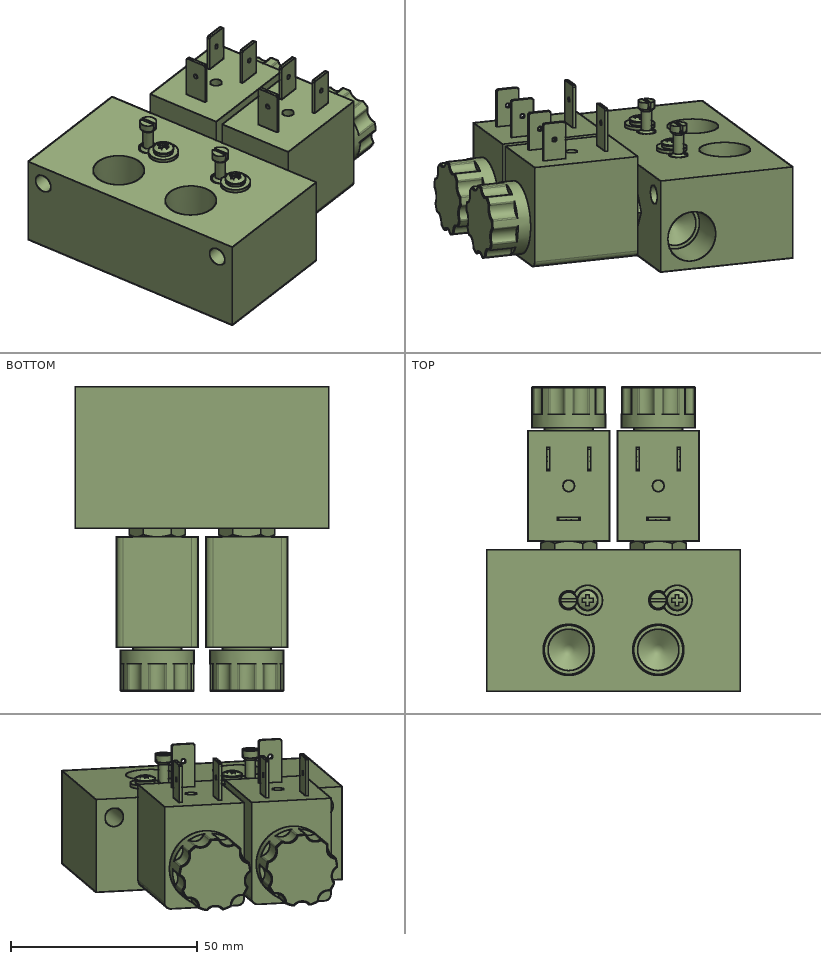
import cadquery as cq
import math


BLOCK_WIDTH = 68.0
BLOCK_DEPTH = 38.0
BLOCK_HEIGHT = 25.5
VALVE_SPACING = 24.0
VALVE_CENTERS_X = (-VALVE_SPACING / 2, VALVE_SPACING / 2)
VALVE_AXIS_Z = BLOCK_HEIGHT / 2

MOUNT_HOLE_DIAMETER = 5.1
MOUNT_HOLE_SPACING = 58.0
MOUNT_HOLE_Z = 20.3

PORT_MOUTH_DIAMETER = 13.7
PORT_SHOULDER_DIAMETER = 13.15
PORT_DRILL_DIAMETER = 11.1
PORT_DEPTH = 11.4
DRILL_POINT_ANGLE = 118.0
TOP_PORT_Y = 11.1
SIDE_PORT_Y = 29.0
SIDE_PORT_Z = 9.1

COIL_GAP = 2.3
COIL_WIDTH = 22.0
COIL_LENGTH = 29.65
COIL_BOTTOM_Z = 1.5
COIL_TOP_Z = 29.6
COIL_BOTTOM_FILLET = 1.8
COIL_FRONT_Y = BLOCK_DEPTH + COIL_GAP
COIL_BACK_Y = COIL_FRONT_Y + COIL_LENGTH
COIL_CENTER_Y = COIL_FRONT_Y + COIL_LENGTH / 2
COIL_SCREW_HOLE_DIAMETER = 3.1
COIL_SCREW_HOLE_DEPTH = 8.2

HEX_ACROSS_FLATS = 13.1
HEX_CHAMFER_ANGLE = 30.0

TOTAL_LENGTH = 81.7
NECK_DIAMETER = 13.1
NECK_LENGTH = 0.7
KNOB_DIAMETER = 19.8
FLUTE_COUNT = 9
FLUTE_LENGTH = 7.4
FLUTE_RADIUS = 2.7
FLUTE_CENTER_OFFSET = 1.4
FLUTE_EDGE_FILLET = 0.4
KNOB_END_CHAMFER = 0.25
KNOB_FRONT_Y = COIL_BACK_Y + NECK_LENGTH

TERMINAL_WIDTH = 6.3
TERMINAL_THICKNESS = 0.8
TERMINAL_CORNER_CHAMFER = 0.4
TERMINAL_HOLE_DIAMETER = 1.2
TERMINAL_HOLE_DROP = 4.65
SIDE_TERMINAL_OFFSET_X = 5.5
SIDE_TERMINAL_Y = 62.2
SIDE_TERMINAL_TOP_Z = 39.85
FRONT_TERMINAL_Y = 46.3
FRONT_TERMINAL_TOP_Z = 41.3

SCREW_Y = 24.4
RECESS_DIAMETER = 5.1
RECESS_DEPTH = 0.25
SHANK_RADIUS = 1.4
FLARE_RADIUS = 2.2
FLARE_TOP_Z = BLOCK_HEIGHT + 0.5
SLOTTED_HEAD_RADIUS = 2.2
SLOTTED_HEAD_TOP_Z = 34.0
SLOTTED_HEAD_HEIGHT = 1.9
SLOTTED_HEAD_CONE_HEIGHT = 0.8
SLOT_WIDTH = 0.7
SLOT_DEPTH = 1.55

LOCK_SCREW_OFFSET_X = 5.1
WASHER_RADIUS = 4.0
WASHER_THICKNESS = 0.9
LOCK_WASHER_RADIUS = 2.6
LOCK_WASHER_THICKNESS = 0.8
LOCK_HEAD_RADIUS = 2.8
LOCK_HEAD_RIM_HEIGHT = 0.3
LOCK_HEAD_DOME_HEIGHT = 0.9
CROSS_LENGTH = 2.9
CROSS_ARM_WIDTH = 1.0
CROSS_DEPTH = 0.9


def port_cutter():
    """Port cavity on the Z axis, with its mouth at Z = 0 and its drill point below."""
    drill_radius = PORT_DRILL_DIAMETER / 2
    point_depth = drill_radius / math.tan(math.radians(DRILL_POINT_ANGLE / 2))
    profile = [
        (0, 0),
        (PORT_MOUTH_DIAMETER / 2, 0),
        (PORT_SHOULDER_DIAMETER / 2, -PORT_DEPTH),
        (drill_radius, -PORT_DEPTH),
        (0, -PORT_DEPTH - point_depth),
    ]
    return cq.Workplane("XZ").polyline(profile).close().revolve(360, (0, 0), (0, 1))


def make_block():
    block = cq.Workplane("XY").box(BLOCK_WIDTH, BLOCK_DEPTH, BLOCK_HEIGHT, centered=(True, False, False))
    mount_holes = (
        cq.Workplane("XZ")
        .pushPoints([(side * MOUNT_HOLE_SPACING / 2, MOUNT_HOLE_Z) for side in (-1, 1)])
        .circle(MOUNT_HOLE_DIAMETER / 2)
        .extrude(-BLOCK_DEPTH)
    )
    side_port = port_cutter().rotate((0, 0, 0), (0, 1, 0), -90)
    side_port = side_port.translate((-BLOCK_WIDTH / 2, SIDE_PORT_Y, SIDE_PORT_Z))
    block = block.cut(mount_holes).cut(side_port)
    for x in VALVE_CENTERS_X:
        block = block.cut(port_cutter().translate((x, TOP_PORT_Y, BLOCK_HEIGHT)))
        recess = cq.Workplane("XY").circle(RECESS_DIAMETER / 2).extrude(-RECESS_DEPTH)
        block = block.cut(recess.translate((x, SCREW_Y, BLOCK_HEIGHT)))
    return block


def make_hex_nut():
    """Nut with corners on the X axis, chamfered where it meets the coil."""
    corner_radius = HEX_ACROSS_FLATS / math.sqrt(3)
    flat_radius = HEX_ACROSS_FLATS / 2
    slope = math.tan(math.radians(HEX_CHAMFER_ANGLE))
    nut = cq.Workplane("XY").polygon(6, 2 * corner_radius).extrude(COIL_GAP)
    profile = [
        (0, 0),
        (flat_radius + COIL_GAP / slope, 0),
        (flat_radius, COIL_GAP),
        (0, COIL_GAP),
    ]
    chamfer_cone = cq.Workplane("XZ").polyline(profile).close().revolve(360, (0, 0), (0, 1))
    nut = nut.intersect(chamfer_cone).rotate((0, 0, 0), (1, 0, 0), -90)
    return nut.translate((0, BLOCK_DEPTH, VALVE_AXIS_Z))


def make_knob():
    """Neck and fluted knob; a land between two flutes points straight up."""
    knob_length = TOTAL_LENGTH - KNOB_FRONT_Y
    radius = KNOB_DIAMETER / 2
    grip = cq.Workplane("XY").circle(radius).extrude(FLUTE_LENGTH)
    flutes = (
        cq.Workplane("XY")
        .polarArray(radius + FLUTE_CENTER_OFFSET, 90, 360, FLUTE_COUNT)
        .circle(FLUTE_RADIUS)
        .extrude(FLUTE_LENGTH)
    )
    grip = grip.cut(flutes).edges("|Z").fillet(FLUTE_EDGE_FILLET)
    grip = grip.faces(">Z").chamfer(KNOB_END_CHAMFER)
    collar = cq.Workplane("XY").circle(radius).extrude(knob_length - FLUTE_LENGTH)
    knob = collar.union(grip.translate((0, 0, knob_length - FLUTE_LENGTH)))
    neck = cq.Workplane("XY").circle(NECK_DIAMETER / 2).extrude(-NECK_LENGTH)
    knob = knob.union(neck).rotate((0, 0, 0), (1, 0, 0), -90)
    return knob.translate((0, KNOB_FRONT_Y, VALVE_AXIS_Z))


def make_terminal(top_z):
    """Upright blade, wide along X, standing on the coil top at the origin of X and Y."""
    blade = (
        cq.Workplane("XY", origin=(0, 0, COIL_TOP_Z))
        .rect(TERMINAL_WIDTH, TERMINAL_THICKNESS)
        .extrude(top_z - COIL_TOP_Z)
        .edges("|Y and >Z")
        .chamfer(TERMINAL_CORNER_CHAMFER)
    )
    hole = (
        cq.Workplane("XZ", origin=(0, 0, top_z - TERMINAL_HOLE_DROP))
        .circle(TERMINAL_HOLE_DIAMETER / 2)
        .extrude(TERMINAL_THICKNESS, both=True)
    )
    return blade.cut(hole)


def make_coil():
    coil = (
        cq.Workplane("XY", origin=(0, COIL_CENTER_Y, COIL_BOTTOM_Z))
        .rect(COIL_WIDTH, COIL_LENGTH)
        .extrude(COIL_TOP_Z - COIL_BOTTOM_Z)
        .edges("|Y and <Z")
        .fillet(COIL_BOTTOM_FILLET)
    )
    screw_hole = (
        cq.Workplane("XY", origin=(0, COIL_CENTER_Y, COIL_TOP_Z))
        .circle(COIL_SCREW_HOLE_DIAMETER / 2)
        .extrude(-COIL_SCREW_HOLE_DEPTH)
    )
    coil = coil.cut(screw_hole)
    for side in (-1, 1):
        blade = make_terminal(SIDE_TERMINAL_TOP_Z).rotate((0, 0, 0), (0, 0, 1), 90)
        coil = coil.union(blade.translate((side * SIDE_TERMINAL_OFFSET_X, SIDE_TERMINAL_Y, 0)))
    return coil.union(make_terminal(FRONT_TERMINAL_TOP_Z).translate((0, FRONT_TERMINAL_Y, 0)))


def make_slotted_screw():
    head_bottom_z = SLOTTED_HEAD_TOP_Z - SLOTTED_HEAD_HEIGHT
    recess_floor_z = BLOCK_HEIGHT - RECESS_DEPTH
    profile = [
        (0, recess_floor_z),
        (FLARE_RADIUS, recess_floor_z),
        (SHANK_RADIUS, FLARE_TOP_Z),
        (SHANK_RADIUS, head_bottom_z - SLOTTED_HEAD_CONE_HEIGHT),
        (SLOTTED_HEAD_RADIUS, head_bottom_z),
        (SLOTTED_HEAD_RADIUS, SLOTTED_HEAD_TOP_Z),
        (0, SLOTTED_HEAD_TOP_Z),
    ]
    screw = cq.Workplane("XZ").polyline(profile).close().revolve(360, (0, 0), (0, 1))
    slot = (
        cq.Workplane("XY", origin=(0, 0, SLOTTED_HEAD_TOP_Z))
        .rect(2 * SLOTTED_HEAD_RADIUS, SLOT_WIDTH)
        .extrude(-SLOT_DEPTH)
    )
    return screw.cut(slot).translate((0, SCREW_Y, 0))


def make_locking_screw():
    washer_top = BLOCK_HEIGHT + WASHER_THICKNESS
    head_bottom = washer_top + LOCK_WASHER_THICKNESS
    dome_bottom = head_bottom + LOCK_HEAD_RIM_HEIGHT
    dome_top = dome_bottom + LOCK_HEAD_DOME_HEIGHT
    dome_radius = (LOCK_HEAD_RADIUS**2 + LOCK_HEAD_DOME_HEIGHT**2) / (2 * LOCK_HEAD_DOME_HEIGHT)
    half_angle = math.asin(LOCK_HEAD_RADIUS / dome_radius) / 2
    dome_middle = (
        dome_radius * math.sin(half_angle),
        dome_top - dome_radius * (1 - math.cos(half_angle)),
    )
    screw = (
        cq.Workplane("XZ")
        .moveTo(0, BLOCK_HEIGHT)
        .lineTo(WASHER_RADIUS, BLOCK_HEIGHT)
        .lineTo(WASHER_RADIUS, washer_top)
        .lineTo(LOCK_WASHER_RADIUS, washer_top)
        .lineTo(LOCK_WASHER_RADIUS, head_bottom)
        .lineTo(LOCK_HEAD_RADIUS, head_bottom)
        .lineTo(LOCK_HEAD_RADIUS, dome_bottom)
        .threePointArc(dome_middle, (0, dome_top))
        .close()
        .revolve(360, (0, 0), (0, 1))
    )
    top_plane = cq.Workplane("XY", origin=(0, 0, dome_top))
    for length_x, length_y in ((CROSS_LENGTH, CROSS_ARM_WIDTH), (CROSS_ARM_WIDTH, CROSS_LENGTH)):
        screw = screw.cut(top_plane.rect(length_x, length_y).extrude(-CROSS_DEPTH))
    return screw.translate((LOCK_SCREW_OFFSET_X, SCREW_Y, 0))


result = make_block()
for x in VALVE_CENTERS_X:
    for part in (make_hex_nut(), make_coil(), make_knob(), make_slotted_screw(), make_locking_screw()):
        result = result.union(part.translate((x, 0, 0)))